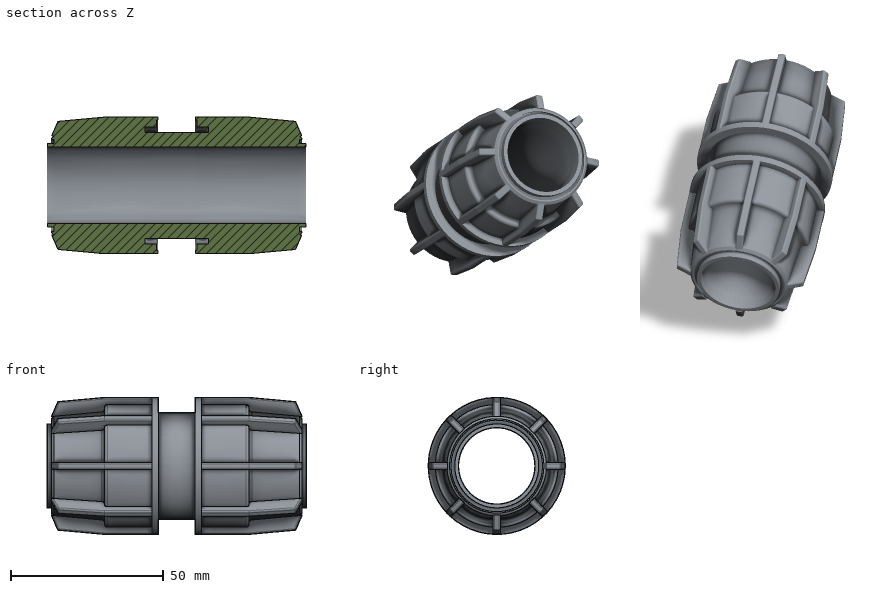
import cadquery as cq
import math

total_length = 85.0
bore_radius = 25.0 / 2
pipe_end_radius = 27.5 / 2
pipe_middle_radius = 35.0 / 2

nut_start = 1.4
nut_mouth_radius = 30.0 / 2
nut_mouth_depth = 0.85
nut_end_radius = 15.5
nut_end_chamfer = 0.85
nut_step_position = 18.8
nut_step_fillet = 1.0
nut_cone_end_radius = 17.8
nut_barrel_radius = 20.15
nut_socket_radius = 38.25 / 2
nut_socket_depth = 4.25

flange_radius = 45.0 / 2
flange_start = 34.3
flange_thickness = 2.1
flange_recess_radius = 42.75 / 2
flange_recess_depth = 0.5
flange_end = flange_start + flange_thickness

rib_count = 8
rib_width = 2.4
rib_fillet = 0.5
rib_tip_position = 3.5
rib_tip_radius = 21.1
rib_toe_radius = 16.15


def tube_section(start, end, outer_radius, inner_radius):
    """Ring around the X axis between two positions."""
    ring = cq.Workplane("YZ", origin=(start, 0, 0)).circle(outer_radius).circle(inner_radius)
    return ring.extrude(end - start)


def nut_shell():
    """Revolved nut: chamfered end, cone, filleted step, barrel and flange."""
    step = nut_step_position
    fillet = nut_step_fillet
    cone_start = nut_start + nut_end_chamfer
    corner = fillet * math.sqrt(0.5)
    concave_mid = (step - fillet + corner, nut_cone_end_radius + fillet - corner)
    convex_mid = (step + fillet - corner, nut_barrel_radius - fillet + corner)
    profile = (
        cq.Workplane("XY")
        .moveTo(nut_start, bore_radius)
        .lineTo(nut_start, nut_end_radius)
        .lineTo(cone_start, nut_end_radius + nut_end_chamfer)
        .lineTo(step - fillet, nut_cone_end_radius)
        .threePointArc(concave_mid, (step, nut_cone_end_radius + fillet))
        .lineTo(step, nut_barrel_radius - fillet)
        .threePointArc(convex_mid, (step + fillet, nut_barrel_radius))
        .lineTo(flange_start, nut_barrel_radius)
        .lineTo(flange_start, flange_radius)
        .lineTo(flange_end, flange_radius)
        .lineTo(flange_end, bore_radius)
        .close()
    )
    return profile.revolve(360, (0, 0, 0), (1, 0, 0))


def rib():
    """One rib on the +Z side, with its outer edges rounded."""
    outline = [
        (nut_start, rib_toe_radius),
        (rib_tip_position, rib_tip_radius),
        (nut_step_position, flange_radius),
        (flange_start, flange_radius),
        (flange_start, rib_toe_radius),
    ]
    blank = cq.Workplane("XZ").polyline(outline).close().extrude(rib_width / 2, both=True)
    side_edges = blank.faces("<Y or >Y").edges("not (<Z or >X)")
    tip_corner = cq.selectors.NearestToPointSelector((rib_tip_position, 0, rib_tip_radius))
    tip_edges = blank.edges("|Y").edges(tip_corner)
    return side_edges.add(tip_edges).fillet(rib_fillet)


def nut():
    """Complete nut with its ribs, the mouth and the socket recess."""
    body = nut_shell()
    single_rib = rib()
    for index in range(rib_count):
        body = body.union(single_rib.rotate((0, 0, 0), (1, 0, 0), index * 360 / rib_count))
    mouth = tube_section(nut_start, nut_start + nut_mouth_depth, nut_mouth_radius, pipe_end_radius)
    socket = tube_section(flange_end - nut_socket_depth, flange_end, nut_socket_radius, pipe_middle_radius)
    recess_start = flange_end - flange_recess_depth
    recess = tube_section(recess_start, flange_end, flange_recess_radius, pipe_middle_radius)
    return body.cut(mouth).cut(socket).cut(recess)


middle_position = total_length / 2
left_nut = nut().translate((-middle_position, 0, 0))
right_nut = left_nut.mirror("YZ")
middle_half_length = middle_position - flange_end + nut_socket_depth
pipe_ends = tube_section(-middle_position, middle_position, pipe_end_radius, bore_radius)
pipe_middle = tube_section(-middle_half_length, middle_half_length, pipe_middle_radius, bore_radius)
result = pipe_middle.union(pipe_ends).union(left_nut).union(right_nut)